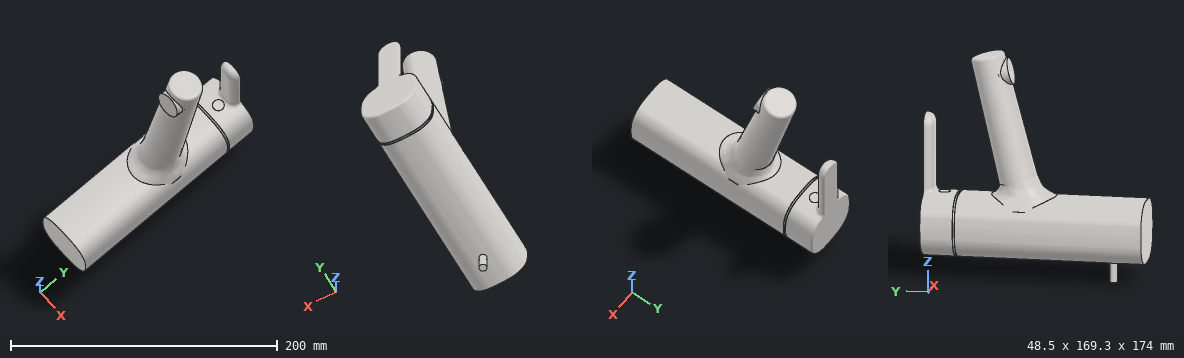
import cadquery as cq
import math

tube_width = 48.5
tube_bottom = 16.0
tube_length = 142.5
side_radius = 66.1
corner_radius = 17.4
half_width = tube_width / 2
tube_center_z = tube_bottom + half_width
tube_top = tube_bottom + tube_width

neck_length = 1.5
neck_inset = 0.7

total_length = 169.3
cap_start = tube_length + neck_length
cap_length = total_length - cap_start
rear_edge_radius = 1.7
lever_width = 18.8
lever_thickness = 8.2
lever_top = 125.3
lever_front_radius = 6.1
lever_root_radius = 3.8
root_margin = 1.7
rear_clearance = 0.2
root_drop = 3.5
lever_half_width = lever_width / 2

button_diameter = 8.9
button_y = 154.3
button_depth = 1.7

spout_tilt = 14.0
spout_base_y = 98.1
spout_base_z = 76.2
spout_base_radius = 15.0
spout_tip_radius = 13.2
spout_tip_fillet = 2.6
total_height = 174.0
tip_lean = math.radians(spout_tilt)
tip_rise = (spout_tip_radius - spout_tip_fillet) * math.sin(tip_lean) + spout_tip_fillet
spout_length = (total_height - spout_base_z - tip_rise) / math.cos(tip_lean) + spout_tip_fillet

outlet_diameter = 20.5
outlet_height = 82.0
outlet_reach = 14.8
outlet_depth = 7.8

pin_diameter = 6.0
pin_y = 25.4
pin_seat_depth = 5.2


def tube_section(y, inset=0.0):
    """Rounded square with bulged sides, built from eight tangent arcs, on a plane facing +Y."""
    half = half_width - inset
    bulge = side_radius - inset
    corner = corner_radius - inset
    bulge_center = half - bulge
    gap = bulge - corner
    c = (bulge_center + math.sqrt(2 * gap**2 - bulge_center**2)) / 2
    far = bulge_center + (c - bulge_center) * bulge / gap
    near = c * bulge / gap
    diagonal = c + corner / math.sqrt(2)
    plane = cq.Plane(origin=(0, y, tube_center_z), xDir=(-1, 0, 0), normal=(0, 1, 0))
    return (
        cq.Workplane(plane)
        .moveTo(far, -near)
        .threePointArc((half, 0), (far, near))
        .threePointArc((diagonal, diagonal), (near, far))
        .threePointArc((0, half), (-near, far))
        .threePointArc((-diagonal, diagonal), (-far, near))
        .threePointArc((-half, 0), (-far, -near))
        .threePointArc((-diagonal, -diagonal), (-near, -far))
        .threePointArc((0, -half), (near, -far))
        .threePointArc((diagonal, -diagonal), (far, -near))
        .close()
    )


def tilted_plane(y, z, tilt):
    """Plane at (y, z) whose normal leans from +Z toward +Y; its local y axis points to +Y."""
    angle = math.radians(tilt)
    return cq.Plane(origin=(0, y, z), xDir=(1, 0, 0), normal=(0, math.sin(angle), math.cos(angle)))


spout_plane = tilted_plane(spout_base_y, spout_base_z, spout_tilt)


def make_spout():
    tip = cq.Workplane(spout_plane).circle(spout_base_radius)
    tip = tip.workplane(offset=spout_length).circle(spout_tip_radius).loft()
    return tip.faces(">Z").edges().fillet(spout_tip_fillet)


def make_spout_root():
    """Flare that spreads from the round spout into a wide oval saddle on the tube."""
    stations = [
        (spout_base_y, spout_base_z, spout_tilt, spout_base_radius, spout_base_radius),
        (96.9, 72.0, 7.0, 15.3, 16.0),
        (95.9, 67.8, 3.0, 16.0, 19.0),
        (93.6, 64.4, 0.0, 17.0, 24.9),
        (93.6, 60.9, 0.0, 19.0, 29.5),
        (93.6, 55.7, 0.0, 21.5, 31.3),
    ]
    rings = []
    for y, z, tilt, half_x, half_y in stations:
        ring = cq.Workplane(tilted_plane(y, z, tilt)).ellipse(half_x, half_y)
        rings.append(ring.wires().val())
    return cq.Workplane(cq.Solid.makeLoft(rings))


def make_outlet():
    angle = math.radians(spout_tilt)
    outward = cq.Vector(0, -math.cos(angle), math.sin(angle))
    face_center = spout_plane.origin + spout_plane.zDir * outlet_height + outward * outlet_reach
    plane = cq.Plane(origin=face_center, xDir=(1, 0, 0), normal=outward)
    return cq.Workplane(plane).circle(outlet_diameter / 2).extrude(-outlet_depth)


def make_pin():
    return cq.Workplane("XY").center(0, pin_y).circle(pin_diameter / 2).extrude(tube_bottom + pin_seat_depth)


def make_body(outlet, pin):
    tube = tube_section(0).extrude(tube_length)
    neck = tube_section(tube_length, neck_inset).extrude(neck_length)
    return tube.union(neck).union(make_spout_root()).union(make_spout()).cut(outlet).cut(pin)


def make_lever():
    """Upright bar with a round top, flush with the rear of the cap and softened on its front edge."""
    plane = cq.Plane(origin=(0, total_length, 0), xDir=(1, 0, 0), normal=(0, -1, 0))
    shoulder = lever_top - lever_half_width
    bar = (
        cq.Workplane(plane)
        .moveTo(-lever_half_width, tube_center_z)
        .lineTo(lever_half_width, tube_center_z)
        .lineTo(lever_half_width, shoulder)
        .threePointArc((0, lever_top), (-lever_half_width, shoulder))
        .close()
        .extrude(lever_thickness)
    )
    front_edges = bar.faces("<Y").edges("not <Z")
    return front_edges.fillet(lever_front_radius)


def make_handle():
    cap = tube_section(cap_start).extrude(cap_length)
    handle = cap.union(make_lever())
    root_zone = cq.selectors.BoxSelector(
        (-lever_half_width - root_margin, total_length - lever_thickness - root_margin, tube_top - root_drop),
        (lever_half_width + root_margin, total_length - rear_clearance, tube_top + root_margin),
    )
    handle = handle.edges(root_zone).fillet(lever_root_radius)
    return handle.faces(">Y").edges().fillet(rear_edge_radius)


def split_button(handle):
    """Cut the button out of the top of the handle, leaving its matching recess."""
    core = cq.Workplane("XY", origin=(0, button_y, tube_top - button_depth))
    core = core.circle(button_diameter / 2).extrude(lever_root_radius + button_depth)
    return handle.cut(core), handle.intersect(core)


outlet = make_outlet()
pin = make_pin()
body = make_body(outlet, pin)
handle, button = split_button(make_handle())

result = cq.Compound.makeCompound([body.val(), handle.val(), button.val(), outlet.val(), pin.val()])